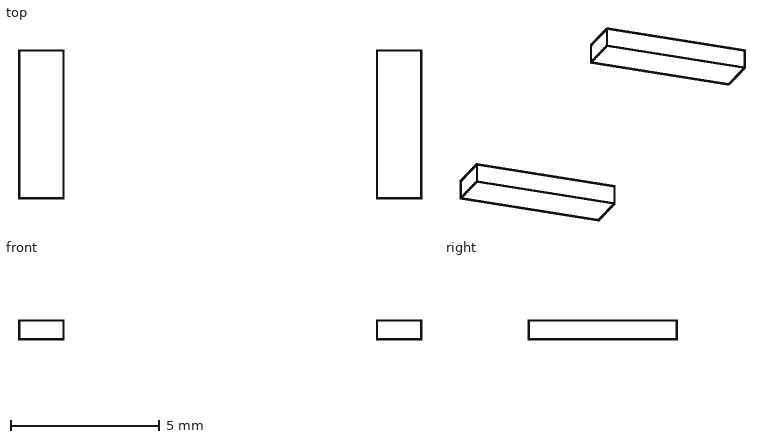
import cadquery as cq

overall_width = 13.58
bar_width = 1.5
bar_length = 5.0
bar_height = 0.64

bar_offset = (overall_width - bar_width) / 2


def make_bar(center_x):
    """Plain rectangular bar resting on Z = 0, centred on the given X."""
    return (
        cq.Workplane("XY")
        .center(center_x, 0)
        .box(bar_width, bar_length, bar_height, centered=(True, True, False))
    )


bars = [make_bar(side * bar_offset) for side in (-1, 1)]

result = cq.Compound.makeCompound([bar.val() for bar in bars])